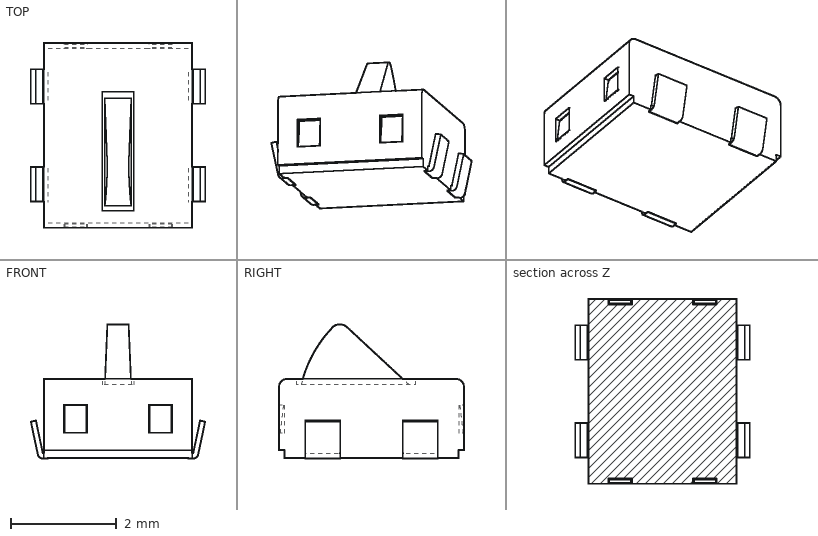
import cadquery as cq
import math

total_x = 3.3
total_y = 3.5
total_z = 2.54

cover_width = 2.8
cover_top = 1.51
cover_bottom = 0.16
sheet = 0.1
cover_bend = 0.15
body_bottom = 0.01
body_length = total_y - 2 * sheet
body_top = cover_top - sheet
body_edge_radius = cover_bend - sheet

slot_width = 0.602
slot_length = 2.25
slot_center_y = -0.3

lever_root_width = 0.5
lever_tip_width = 0.405
tip_radius = 0.2
tip_center_y = -0.6
tip_center_z = total_z - tip_radius
ramp_start_y = 0.7
back_root_y = -1.33
back_mid_y = -1.105
back_mid_z = 1.98
back_tip_angle = 43

latch_spacing = 1.603
window_width = 0.448
window_bottom = 0.495
window_height = 0.525
wedge_width = 0.41
wedge_height = 0.51
wedge_top_depth = 0.02
wedge_bottom_depth = 0.08

terminal_spacing = 1.848
terminal_width = 0.658
terminal_thickness = 0.1
terminal_top = 0.72
terminal_lean = math.radians(12)
terminal_inner_end = 1.33
terminal_bend = 0.098


def make_body():
    """Solid block filling the cover and reaching below it."""
    height = body_top - body_bottom
    body = cq.Workplane("XY").box(cover_width, body_length, height, centered=(True, True, False))
    return body.translate((0, 0, body_bottom)).edges("|X and >Z").fillet(body_edge_radius)


def make_cover():
    """U-shaped cover with rounded bends, slotted on top and windowed at both ends."""
    height = cover_top - cover_bottom
    cover = cq.Workplane("XY").box(cover_width, total_y, height, centered=(True, True, False))
    cover = cover.translate((0, 0, cover_bottom)).edges("|X and >Z").fillet(cover_bend)
    slot = (
        cq.Workplane("XY")
        .box(slot_width, slot_length, total_z)
        .translate((0, slot_center_y, cover_top))
    )
    windows = (
        cq.Workplane("XZ")
        .center(0, window_bottom + window_height / 2)
        .rarray(latch_spacing, 0.035, 2, 1)
        .rect(window_width, window_height)
        .extrude(total_y, both=True)
    )
    return cover.cut(slot).cut(windows).cut(make_body())


def make_wedges():
    """Latch wedges on both ends of the body, thickest at the bottom."""
    face_y = -body_length / 2
    wedge = (
        cq.Workplane("YZ")
        .moveTo(0, window_bottom)
        .lineTo(face_y - wedge_bottom_depth, window_bottom)
        .lineTo(face_y - wedge_top_depth, window_bottom + wedge_height)
        .lineTo(0, window_bottom + wedge_height)
        .close()
        .extrude(wedge_width / 2, both=True)
    )
    pair = wedge.translate((-latch_spacing / 2, 0, 0)).union(wedge.translate((latch_spacing / 2, 0, 0)))
    return pair.union(pair.mirror("XZ"))


def tip_point(angle):
    """Point on the tip arc, with the angle measured from +Z towards +Y."""
    return (
        tip_center_y + tip_radius * math.sin(angle),
        tip_center_z + tip_radius * math.cos(angle),
    )


def make_lever():
    """Side outline of the lever, narrowed towards the tip by a tapered slab."""
    run = ramp_start_y - tip_center_y
    drop = tip_center_z - body_top
    root_angle = math.pi / 2 + math.atan2(drop, run)
    ramp_angle = root_angle - math.acos(tip_radius / math.hypot(run, drop))
    side = (
        cq.Workplane("YZ")
        .moveTo(ramp_start_y, body_top)
        .lineTo(*tip_point(ramp_angle))
        .threePointArc(tip_point(0), tip_point(-math.radians(back_tip_angle)))
        .threePointArc((back_mid_y, back_mid_z), (back_root_y, body_top))
        .close()
        .extrude(lever_root_width, both=True)
    )
    taper = (
        cq.Workplane("XZ")
        .moveTo(-lever_root_width / 2, body_top)
        .lineTo(lever_root_width / 2, body_top)
        .lineTo(lever_tip_width / 2, total_z)
        .lineTo(-lever_tip_width / 2, total_z)
        .close()
        .extrude(total_y, both=True)
    )
    return side.intersect(taper)


def make_terminals():
    """Two terminals on each side, with rounded outer bends."""
    outer_tip_x = total_x / 2
    outer_tip_z = terminal_top - terminal_thickness * math.sin(terminal_lean)
    inner_tip_x = outer_tip_x - terminal_thickness * math.cos(terminal_lean)
    slope = math.tan(terminal_lean)
    outer_foot_x = outer_tip_x - outer_tip_z * slope
    inner_foot_x = inner_tip_x - (terminal_top - terminal_thickness) * slope
    strip = (
        cq.Workplane("XZ")
        .moveTo(terminal_inner_end, 0)
        .lineTo(outer_foot_x, 0)
        .lineTo(outer_tip_x, outer_tip_z)
        .lineTo(inner_tip_x, terminal_top)
        .lineTo(inner_foot_x, terminal_thickness)
        .lineTo(terminal_inner_end, terminal_thickness)
        .close()
        .extrude(terminal_width / 2, both=True)
    )
    bend_edge = cq.selectors.NearestToPointSelector((outer_foot_x, 0, 0))
    strip = strip.edges(bend_edge).fillet(terminal_bend)
    pair = strip.translate((0, terminal_spacing / 2, 0)).union(strip.translate((0, -terminal_spacing / 2, 0)))
    return pair.union(pair.mirror("YZ"))


result = make_body().union(make_cover(), clean=False)
for feature in (make_wedges(), make_lever(), make_terminals()):
    result = result.union(feature, clean=False)